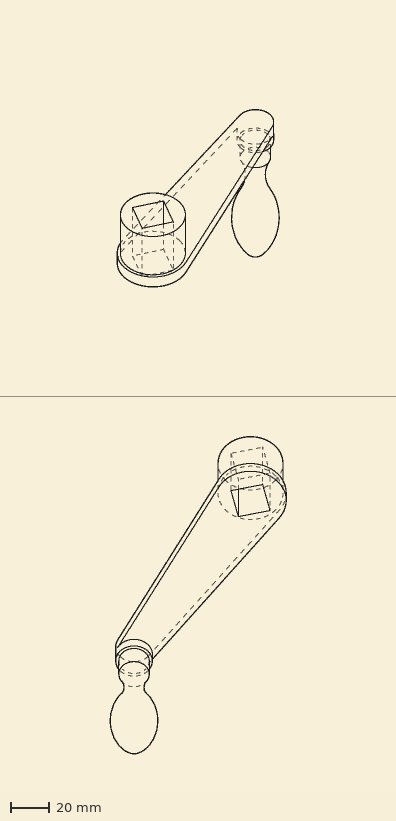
import cadquery as cq
import math

arm_thickness = 7.0
hub_end_radius = 37.3 / 2
handle_y = 115.3

hub_diameter = 34.0
hub_height = 27.0
socket_side = 17.0
socket_angle = 45

boss_radius = 19.2 / 2
boss_depth = 6.0
collar_radius = 16.0 / 2
collar_depth = 18.0
waist_radius = 5.3
waist_length = 24.0
belly_radius = 25.0 / 2
belly_drop = 18.3
handle_depth = 86.0


def make_arm():
    """Flat plate bounded by two end circles and their common outer tangents."""
    tangent_sin = (hub_end_radius - boss_radius) / handle_y
    tangent_cos = math.sqrt(1 - tangent_sin**2)
    hub_x = hub_end_radius * tangent_cos
    hub_y = hub_end_radius * tangent_sin
    tip_x = boss_radius * tangent_cos
    tip_y = handle_y + boss_radius * tangent_sin
    return (
        cq.Workplane("XY")
        .moveTo(hub_x, hub_y)
        .lineTo(tip_x, tip_y)
        .threePointArc((0, handle_y + boss_radius), (-tip_x, tip_y))
        .lineTo(-hub_x, hub_y)
        .threePointArc((0, -hub_end_radius), (hub_x, hub_y))
        .close()
        .extrude(arm_thickness)
    )


def make_hub():
    return cq.Workplane("XY").circle(hub_diameter / 2).extrude(arm_thickness + hub_height)


def make_socket():
    """Square cutter through the hub and the arm."""
    return (
        cq.Workplane("XY")
        .transformed(rotate=(0, 0, socket_angle))
        .rect(socket_side, socket_side)
        .extrude(arm_thickness + hub_height)
    )


def make_handle():
    """Turned grip: boss, collar, concave waist, convex belly and a ball tip."""
    waist_end = collar_depth + waist_length
    belly_depth = waist_end + belly_drop

    belly_rise = belly_radius - collar_radius
    belly_arc = (belly_drop**2 + belly_rise**2) / (2 * belly_rise)
    axis_offset = belly_arc - belly_radius

    lower_length = handle_depth - belly_depth
    radius_gap = belly_arc - lower_length
    ball_drop = (axis_offset**2 - radius_gap**2) / (2 * radius_gap)
    ball_radius = lower_length - ball_drop
    center_distance = belly_arc - ball_radius
    ball_join_x = ball_radius * axis_offset / center_distance
    ball_join_depth = belly_depth + belly_arc * ball_drop / center_distance
    ball_mid_angle = math.atan2(ball_join_x, ball_join_depth - belly_depth - ball_drop) / 2
    ball_mid_x = ball_radius * math.sin(ball_mid_angle)
    ball_mid_depth = belly_depth + ball_drop + ball_radius * math.cos(ball_mid_angle)

    profile = (
        cq.Workplane("XZ")
        .moveTo(0, arm_thickness)
        .lineTo(boss_radius, arm_thickness)
        .lineTo(boss_radius, -boss_depth)
        .lineTo(collar_radius, -boss_depth)
        .lineTo(collar_radius, -collar_depth)
        .threePointArc((waist_radius, -collar_depth - waist_length / 2), (collar_radius, -waist_end))
        .threePointArc((belly_radius, -belly_depth), (ball_join_x, -ball_join_depth))
        .threePointArc((ball_mid_x, -ball_mid_depth), (0, -handle_depth))
        .close()
    )
    return profile.revolve(360, (0, 0), (0, 1)).translate((0, handle_y, 0))


result = make_arm().union(make_hub()).union(make_handle()).cut(make_socket())